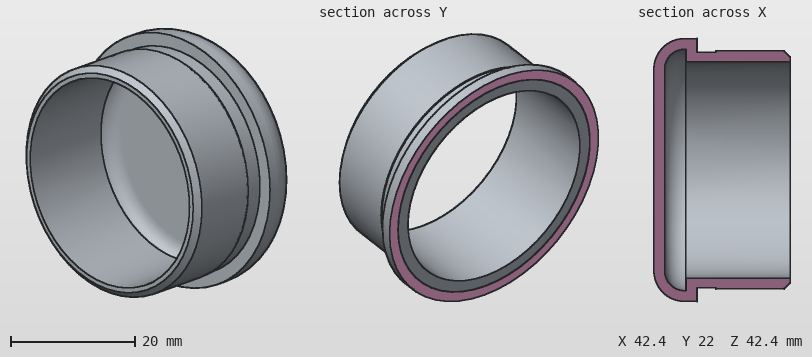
import cadquery as cq
import math


head_diameter = 42.4
plug_diameter = 38.4

total_length = 22.0
dome_radius = 5.0
flange_thickness = 2.0
neck_length = 3.0
rim_chamfer = 1.0

wall_thickness = 1.8
neck_relief = 0.2

head_radius = head_diameter / 2
plug_radius = plug_diameter / 2
neck_radius = plug_radius - neck_relief
bore_radius = plug_radius - wall_thickness

dome_start = total_length - dome_radius
flange_start = dome_start - flange_thickness
neck_start = flange_start - neck_length
bore_depth = flange_start + wall_thickness
cavity_end = total_length - wall_thickness
dome_flat_radius = head_radius - dome_radius
cavity_dome_radius = dome_radius - wall_thickness


def arc_midpoint(center_radius, center_y, arc_radius):
    """Middle of a quarter arc that bulges outward and toward +Y."""
    offset = arc_radius * math.sqrt(0.5)
    return (center_radius + offset, center_y + offset)


def turned(profile):
    """Full revolution of a (radius, Y) profile about the Y axis."""
    return profile.close().revolve(360, (0, 0, 0), (0, 1, 0))


def make_body():
    """Solid plug with chamfered rim, relieved neck, flange and domed head."""
    profile = (
        cq.Workplane("XY")
        .moveTo(0, 0)
        .lineTo(plug_radius - rim_chamfer, 0)
        .lineTo(plug_radius, rim_chamfer)
        .lineTo(plug_radius, neck_start)
        .lineTo(neck_radius, neck_start)
        .lineTo(neck_radius, flange_start)
        .lineTo(head_radius, flange_start)
        .lineTo(head_radius, dome_start)
        .threePointArc(
            arc_midpoint(dome_flat_radius, dome_start, dome_radius),
            (dome_flat_radius, total_length),
        )
        .lineTo(0, total_length)
    )
    return turned(profile)


def make_cavity():
    """Straight bore that widens inside the head, under a dome parallel to the outer one."""
    cavity_radius = head_radius - wall_thickness
    profile = (
        cq.Workplane("XY")
        .moveTo(0, 0)
        .lineTo(bore_radius, 0)
        .lineTo(bore_radius, bore_depth)
        .lineTo(cavity_radius, bore_depth)
        .lineTo(cavity_radius, dome_start)
        .threePointArc(
            arc_midpoint(dome_flat_radius, dome_start, cavity_dome_radius),
            (dome_flat_radius, cavity_end),
        )
        .lineTo(0, cavity_end)
    )
    return turned(profile)


result = make_body().cut(make_cavity())